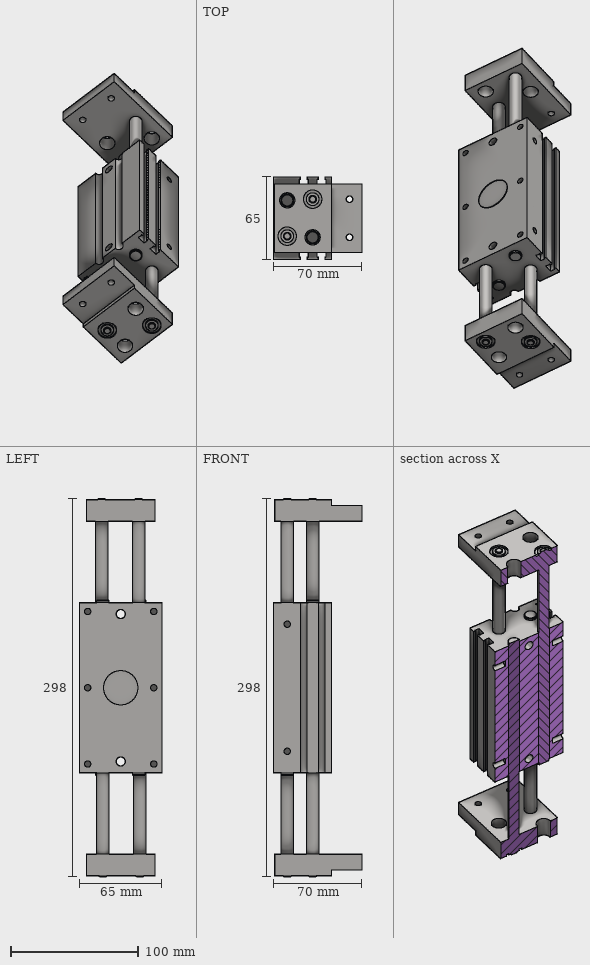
import cadquery as cq

housing_depth = 46.0
housing_width = 65.0
housing_height = 134.0
half_width = housing_width / 2
half_height = housing_height / 2

first_slot_x = 21.4
slot_pitch = 14.0
slot_near_edges = (first_slot_x, first_slot_x + slot_pitch)
slot_mouth_width = 5.2
slot_lip = 2.0
slot_undercut = 0.8
slot_depth = 5.5

face_hole_diameter = 5.0
face_hole_depth = 10.0
face_hole_y = 26.0
face_hole_z = 60.0

through_hole_diameter = 7.0
through_hole_z = 58.0

side_hole_diameter = 5.0
side_hole_depth = 10.0
side_hole_z = 50.0

back_groove_diameter = 7.0
back_groove_y = 10.3

recess_diameter = 27.0
recess_depth = 0.5

rod_diameter = 10.0
rod_near_x = 11.0
rod_far_x = 31.0
rod_outer_y = 15.0
rod_inner_y = 14.1
rod_overhang = 2.0
rod_end_chamfer = 0.6

plate_start_x = 1.0
plate_end_x = 70.0
plate_width = 54.0
plate_thickness = 17.0
plate_gap = 64.0
step_depth = 4.5
step_x = housing_depth
clearance_diameter = 12.0
plate_hole_diameter = 5.0
plate_hole_x = 60.0
plate_hole_y = 15.0

groove_outer_diameter = 14.5
groove_depth = 1.5
stud_diameter = 6.0
stud_height = 1.0
stud_chamfer = 0.6

plate_inner_z = half_height + plate_gap
plate_outer_z = plate_inner_z + plate_thickness

upper_rods = [(rod_near_x, -rod_inner_y), (rod_far_x, rod_outer_y)]
lower_rods = [(x, -y) for x, y in upper_rods]


def cylinder_z(points, diameter, z_start, z_end):
    """Upright cylinders at the given XY points."""
    return (
        cq.Workplane("XY", origin=(0, 0, z_start))
        .pushPoints(points)
        .circle(diameter / 2)
        .extrude(z_end - z_start)
    )


def cylinder_x(points, diameter, length):
    """Cylinders running along +X from X = 0, at the given YZ points."""
    return cq.Workplane("YZ").pushPoints(points).circle(diameter / 2).extrude(length)


def box(x_range, y_range, z_range):
    """A block between the given limits."""
    sizes = [end - start for start, end in (x_range, y_range, z_range)]
    start_corner = (x_range[0], y_range[0], z_range[0])
    return cq.Workplane("XY").box(*sizes, centered=False).translate(start_corner)


def t_slot(near_edge):
    """Full-height T-slot in the -Y side."""
    far_edge = near_edge + slot_mouth_width
    z_range = (-half_height, half_height)
    mouth = box((near_edge, far_edge), (-half_width, slot_depth - half_width), z_range)
    inside = box(
        (near_edge - slot_undercut, far_edge + slot_undercut),
        (slot_lip - half_width, slot_depth - half_width),
        z_range,
    )
    return mouth.union(inside)


def make_housing():
    body = box((0, housing_depth), (-half_width, half_width), (-half_height, half_height))

    for near_edge in slot_near_edges:
        slot = t_slot(near_edge)
        body = body.cut(slot).cut(slot.mirror("XZ"))

    face_points = [(y, z) for y in (-face_hole_y, face_hole_y) for z in (-face_hole_z, 0, face_hole_z)]
    body = body.cut(cylinder_x(face_points, face_hole_diameter, face_hole_depth))
    through_points = [(0, -through_hole_z), (0, through_hole_z)]
    body = body.cut(cylinder_x(through_points, through_hole_diameter, housing_depth))
    body = body.cut(cylinder_x([(0, 0)], recess_diameter, recess_depth))

    side_holes = (
        cq.Workplane("XZ", origin=(0, -half_width, 0))
        .pushPoints([(rod_near_x, -side_hole_z), (rod_near_x, side_hole_z)])
        .circle(side_hole_diameter / 2)
        .extrude(-side_hole_depth)
    )
    body = body.cut(side_holes).cut(side_holes.mirror("XZ"))

    groove_centres = [(housing_depth, -back_groove_y), (housing_depth, back_groove_y)]
    body = body.cut(cylinder_z(groove_centres, back_groove_diameter, -half_height, half_height))

    return body.cut(cylinder_z(upper_rods + lower_rods, rod_diameter, -half_height, half_height))


def make_upper_end_unit():
    """Plate above the housing with its two rods reaching down through the housing."""
    y_range = (-plate_width / 2, plate_width / 2)
    plate = box((plate_start_x, plate_end_x), y_range, (plate_inner_z, plate_outer_z))
    plate = plate.cut(box((step_x, plate_end_x), y_range, (plate_outer_z - step_depth, plate_outer_z)))
    plate = plate.cut(cylinder_z(lower_rods, clearance_diameter, plate_inner_z, plate_outer_z))
    plate_holes = [(plate_hole_x, -plate_hole_y), (plate_hole_x, plate_hole_y)]
    plate = plate.cut(cylinder_z(plate_holes, plate_hole_diameter, plate_inner_z, plate_outer_z))

    groove_floor = plate_outer_z - groove_depth
    plate = plate.cut(cylinder_z(upper_rods, groove_outer_diameter, groove_floor, plate_outer_z))

    rods = cylinder_z(upper_rods, rod_diameter, -half_height - rod_overhang, plate_outer_z)
    rods = rods.faces("<Z").chamfer(rod_end_chamfer)
    studs = cylinder_z(upper_rods, stud_diameter, groove_floor, plate_outer_z + stud_height)
    studs = studs.faces(">Z").chamfer(stud_chamfer)
    return plate.union(rods).union(studs)


housing = make_housing()
upper_end_unit = make_upper_end_unit()
lower_end_unit = upper_end_unit.rotate((0, 0, 0), (1, 0, 0), 180)

result = cq.Compound.makeCompound([housing.val(), upper_end_unit.val(), lower_end_unit.val()])